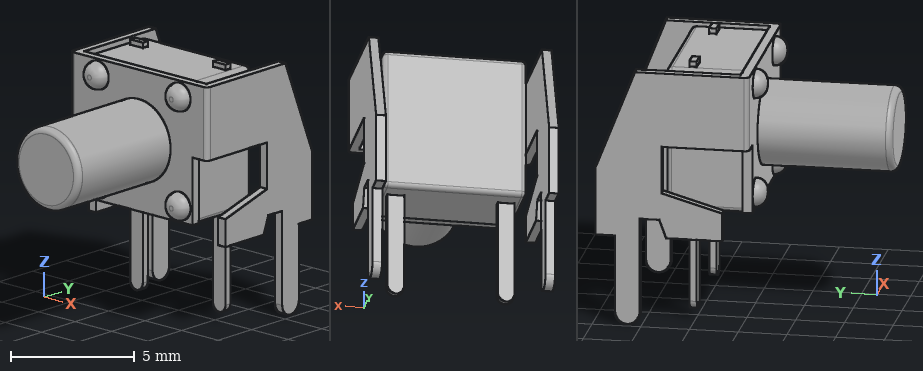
import cadquery as cq
import math


BRACKET_WIDTH = 7.5
SHEET = 0.4
BEND_RADIUS = 0.2
BRACKET_REAR = 6.29
TOP = 2.99
NOTCH_TOP = -0.12
SHOULDER_Z = -3.98
SLOPE_TOP_Y = 4.68
SLOPE_BOTTOM_Z = -1.1
LEG_WIDTH = 1.0
LEG_FRONT = 4.48
LEG_TIP = -7.69
LEG_ROOT_Z = -3.21
RELIEF_TOP_Y = 3.67
RELIEF_BOTTOM_Y = 3.39
ARM_FRONT = 1.1
ARM_FRONT_Z = -2.8
WINDOW_REAR = 3.59
WINDOW_REAR_Z = -2.08

HOUSING_WIDTH = 5.9
HOUSING_REAR = 3.5
HOUSING_FILLET = 0.2
RIVET_DIAMETER = 1.2
RIVET_HEIGHT = 0.5
RIVET_X = 2.24
RIVET_Z = 2.3

BUTTON_DIAMETER = 3.5
BUTTON_PROJECTION = 5.51
BUTTON_FILLET = 0.26

TERMINAL_WIDTH = 0.7
TERMINAL_THICKNESS = 0.31
TERMINAL_X = 2.27
TERMINAL_Y = 2.49
TERMINAL_TOP = 3.21
TERMINAL_TIP = -7.3
TERMINAL_TIP_HEIGHT = 0.37

RIVET_POINTS = [(x, z) for x in (-RIVET_X, RIVET_X) for z in (-RIVET_Z, RIVET_Z)]


def box_between(x_min, x_max, y_min, y_max, z_min, z_max):
    """Box spanning the given limits."""
    size = (x_max - x_min, y_max - y_min, z_max - z_min)
    return cq.Workplane("XY").box(*size, centered=False).translate((x_min, y_min, z_min))


def make_side_wall(x_min):
    """Side wall with a sloped rear, a front window and a round-ended solder leg."""
    leg_radius = LEG_WIDTH / 2
    leg_rear = LEG_FRONT + LEG_WIDTH
    round_start = LEG_TIP + leg_radius
    return (
        cq.Workplane("YZ")
        .moveTo(0, TOP)
        .lineTo(SLOPE_TOP_Y, TOP)
        .lineTo(BRACKET_REAR, SLOPE_BOTTOM_Z)
        .lineTo(BRACKET_REAR, SHOULDER_Z)
        .lineTo(leg_rear, SHOULDER_Z)
        .lineTo(leg_rear, round_start)
        .threePointArc((LEG_FRONT + leg_radius, LEG_TIP), (LEG_FRONT, round_start))
        .lineTo(LEG_FRONT, LEG_ROOT_Z)
        .lineTo(RELIEF_TOP_Y, LEG_ROOT_Z)
        .lineTo(RELIEF_BOTTOM_Y, SHOULDER_Z)
        .lineTo(ARM_FRONT, SHOULDER_Z)
        .lineTo(ARM_FRONT, ARM_FRONT_Z)
        .lineTo(WINDOW_REAR, WINDOW_REAR_Z)
        .lineTo(WINDOW_REAR, NOTCH_TOP)
        .lineTo(0, NOTCH_TOP)
        .close()
        .extrude(SHEET)
        .translate((x_min, 0, 0))
    )


def front_hole(points, diameter):
    """Cylinders through the front plate at the given X, Z points."""
    return (
        cq.Workplane("XZ", origin=(0, SHEET, 0))
        .pushPoints(points)
        .circle(diameter / 2)
        .extrude(SHEET)
    )


def make_bracket():
    """Sheet bracket: front plate and two side walls, pierced for the button and rivets."""
    half_width = BRACKET_WIDTH / 2
    upper_plate = box_between(-half_width, half_width, 0, SHEET, NOTCH_TOP, TOP)
    lower_plate = box_between(-HOUSING_WIDTH / 2, HOUSING_WIDTH / 2, 0, SHEET, -TOP, NOTCH_TOP)
    bracket = upper_plate.union(make_side_wall(-half_width)).union(make_side_wall(half_width - SHEET))
    for side in (-1, 1):
        corner = cq.NearestToPointSelector((side * half_width, 0, (TOP + NOTCH_TOP) / 2))
        bracket = bracket.edges("|Z").edges(corner).fillet(BEND_RADIUS)
    bracket = bracket.union(lower_plate)
    bracket = bracket.cut(front_hole([(0, 0)], BUTTON_DIAMETER))
    return bracket.cut(front_hole(RIVET_POINTS, RIVET_DIAMETER))


def make_rivet(x, z):
    """Rivet with a domed head that ends in a small flat."""
    radius = RIVET_DIAMETER / 2
    flat_radius = radius - RIVET_HEIGHT
    diagonal = RIVET_HEIGHT * math.sqrt(0.5)
    rivet = (
        cq.Workplane("XY")
        .moveTo(0, SHEET)
        .lineTo(radius, SHEET)
        .lineTo(radius, 0)
        .threePointArc((flat_radius + diagonal, -diagonal), (flat_radius, -RIVET_HEIGHT))
        .lineTo(0, -RIVET_HEIGHT)
        .close()
        .revolve(360, (0, 0, 0), (0, 1, 0))
    )
    return rivet.translate((x, 0, z))


def make_terminal(x):
    """Flat terminal through the housing, with a slightly pointed round lower end."""
    half_width = TERMINAL_WIDTH / 2
    round_start = TERMINAL_TIP + TERMINAL_TIP_HEIGHT
    return (
        cq.Workplane("XZ", origin=(x, TERMINAL_Y + TERMINAL_THICKNESS / 2, 0))
        .moveTo(0, TERMINAL_TOP)
        .lineTo(half_width, TERMINAL_TOP)
        .lineTo(half_width, round_start)
        .tangentArcPoint((0, TERMINAL_TIP), relative=False)
        .mirrorY()
        .extrude(TERMINAL_THICKNESS)
    )


def make_housing(terminals):
    """Rounded housing block with four rivets and a slot around each terminal."""
    half_width = HOUSING_WIDTH / 2
    housing = box_between(-half_width, half_width, SHEET, HOUSING_REAR, -TOP, TOP)
    housing = housing.edges("|Y or >Y").fillet(HOUSING_FILLET)
    for x, z in RIVET_POINTS:
        housing = housing.union(make_rivet(x, z))
    for terminal in terminals:
        housing = housing.cut(terminal)
    return housing


def make_button():
    """Round button that rests on the housing and passes through the front plate."""
    return (
        cq.Workplane("XZ", origin=(0, SHEET, 0))
        .circle(BUTTON_DIAMETER / 2)
        .extrude(SHEET + BUTTON_PROJECTION)
        .faces("<Y")
        .edges()
        .fillet(BUTTON_FILLET)
    )


bracket = make_bracket()
terminals = [make_terminal(x) for x in (-TERMINAL_X, TERMINAL_X)]
housing = make_housing(terminals)
button = make_button()

result = cq.Compound.makeCompound(
    [bracket.val(), housing.val(), button.val(), *[terminal.val() for terminal in terminals]]
)